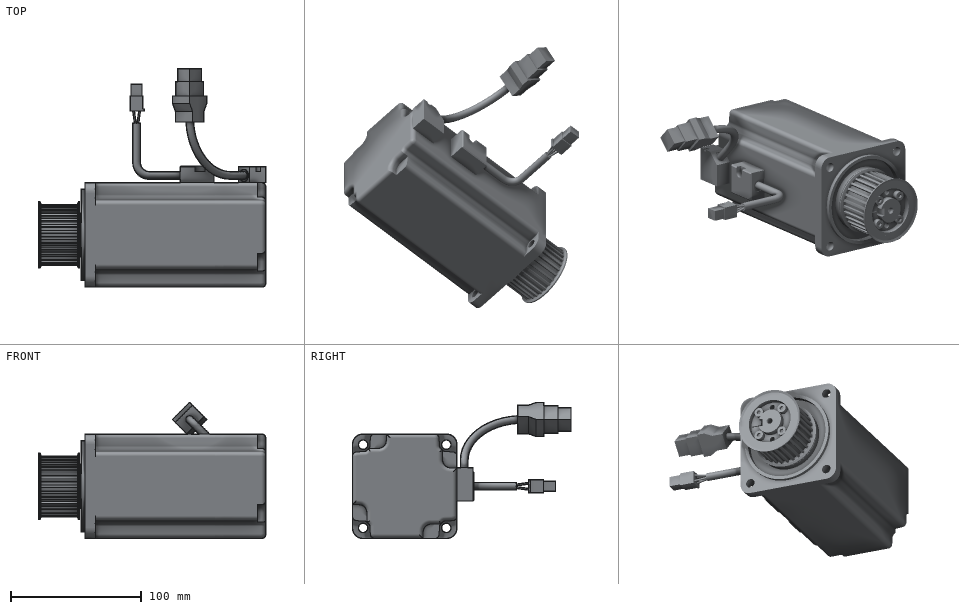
import cadquery as cq
import math


body_width = 80.0
flange_thickness = 8.0
flange_corner_radius = 8.0
bolt_circle = 90.0
bolt_hole_diameter = 7.0
pilot_diameter = 70.0
pilot_height = 3.0
pilot_recess_diameter = 65.0
pilot_recess_depth = 5.0
seal_boss_diameter = 50.0

bracket_end = 11.5
stator_end = 99.6
rear_bracket_end = 106.2
motor_end = 138.37

lobe_half_width = 26.1
lobe_root_half_width = 26.7
lobe_root_height = 29.8
lobe_edge_radius = 3.4
lobe_root_radius = 2.3
rear_edge_radius = 3.2

screw_notch_length = 6.5
screw_notch_start = 14.1
screw_notch_floor = 29.0
screw_notch_radius = 6.0

shaft_diameter = 19.0
shaft_length = 35.0
shaft_tap_diameter = 4.2
shaft_tap_depth = 12.0
shaft_tap_mouth_diameter = 5.2
key_slot_width = 6.0
key_slot_depth = 3.5
key_slot_length = 25.0

pulley_front = -34.7
pulley_rear = -4.7
tooth_count = 30
tooth_tip_diameter = 46.8
groove_depth = 1.9
groove_mouth_width = 3.2
groove_floor_width = 2.4
rim_bore_diameter = 40.0
rim_thickness = 1.0
rim_flat_diameter = 47.5
rim_diameter = 51.0
rim_flare = 0.7

bush_diameter = 34.0
bush_recess_diameter = 35.0
bush_bore = 19.2
bush_front = -30.0
bush_rear = -3.5
bush_slit_width = 0.6
clamp_screw_circle = 27.0
clamp_screw_diameter = 4.0
clamp_screw_length = 20.0
clamp_head_diameter = 7.0
clamp_head_height = 4.0
hex_socket_width = 3.0
hex_socket_depth = 2.0
jack_hole_diameter = 4.2

lead_diameter = 6.0
lead_height = 45.5
cable_recess_radius = 4.6
cable_recess_depth = 0.6
lead_entry = 2.0

power_block_start = 72.9
power_block_end = 98.8
power_block_top = 52.9
power_block_depth = 22.8
power_block_chamfer = 0.8
power_screw_x = 88.0
power_screw_diameter = 7.5
power_lead_x = 39.5
power_lead_bend = 10.0
power_sheath_end = 85.5
wire_diameter = 1.5
wire_spread_start = 1.0
wire_spread_end = 2.3
power_plug_start = 94.8
power_plug_step = 106.2
power_plug_end = 115.4
power_plug_width = 9.8
power_plug_height = 10.0
power_tip_width = 8.6
power_tip_height = 7.8
plug_lip_width = 1.1
plug_lip_length = 1.6

encoder_block_start = 117.4
encoder_block_top = 52.3
encoder_block_upper = 14.3
encoder_block_lower = -11.4
encoder_block_slope = 8.6
encoder_screw_x = 132.7
encoder_screw_diameter = 3.4
block_screw_floor = 48.6

encoder_plug_x = 80.1
encoder_plug_z = 51.1
encoder_plug_width = 18.6
encoder_plug_waist = 12.4
encoder_middle_width = 15.1
encoder_tip_width = 12.9
encoder_waist_start = 86.4
encoder_taper_start = 94.65
encoder_taper_end = 100.6
encoder_middle_start = 106.5
encoder_tip_start = 117.4
encoder_tip_end = 127.27
encoder_lead_bend = 44.3


def cylinder(diameter, start, end, y=0.0, z=0.0):
    """Cylinder along X from start to end."""
    return cq.Workplane("YZ", origin=(start, y, z)).circle(diameter / 2).extrude(end - start)


def box(x_range, y_range, z_range):
    """Axis-aligned box between pairs of limits."""
    size = [high - low for low, high in (x_range, y_range, z_range)]
    corner = [low for low, high in (x_range, y_range, z_range)]
    return cq.Workplane("XY").box(*size, centered=False).translate(tuple(corner))


def on_circle(diameter, angle):
    """Point (Y, Z) on a circle about the shaft axis."""
    radius = diameter / 2
    return radius * math.cos(math.radians(angle)), radius * math.sin(math.radians(angle))


diagonal_angles = (45, 135, 225, 315)


def lobed_prism(start, end):
    """Motor cross-section, a square with a notch along each corner, extruded along X."""
    half = body_width / 2
    side = [
        (-lobe_root_half_width, lobe_root_height),
        (-lobe_half_width, half),
        (lobe_half_width, half),
        (lobe_root_half_width, lobe_root_height),
    ]
    points = []
    for quarter in range(4):
        turn = math.radians(-90 * quarter)
        for y, z in side:
            turned_y = y * math.cos(turn) - z * math.sin(turn)
            turned_z = y * math.sin(turn) + z * math.cos(turn)
            points.append((turned_y, turned_z))
    prism = cq.Workplane("YZ", origin=(start, 0, 0)).polyline(points).close().extrude(end - start)

    def is_outer(edge):
        middle = edge.Center()
        return max(abs(middle.y), abs(middle.z)) > half - lobe_edge_radius

    lengthwise = prism.edges("|X")
    outer_edges = lengthwise.filter(is_outer)
    root_edges = lengthwise.filter(lambda edge: not is_outer(edge))
    rounded = prism.newObject(outer_edges.vals()).fillet(lobe_edge_radius)
    roots = rounded.edges("|X").filter(
        lambda edge: any(
            (edge.Center() - root.Center()).Length < lobe_root_radius / 2 for root in root_edges.vals()
        )
    )
    return roots.fillet(lobe_root_radius)


def screw_notches():
    """Pocket at the rear of each lobe that clears the cover screws."""
    half = body_width / 2
    notch = box(
        (motor_end - screw_notch_length, motor_end),
        (-half, -screw_notch_start),
        (screw_notch_floor, half),
    )
    notch = notch.edges("|X and >Y and <Z").fillet(screw_notch_radius)
    notches = notch
    for quarter in range(1, 4):
        notches = notches.union(notch.rotate((0, 0, 0), (1, 0, 0), 90 * quarter))
    return notches


def make_motor_housing():
    flange = cq.Workplane("YZ").rect(body_width, body_width).extrude(flange_thickness)
    flange = flange.edges("|X").fillet(flange_corner_radius)
    for angle in diagonal_angles:
        y, z = on_circle(bolt_circle, angle)
        flange = flange.cut(cylinder(bolt_hole_diameter, 0, flange_thickness, y, z))
    pilot = cylinder(pilot_diameter, -pilot_height, 0)
    housing = flange.union(pilot)
    recess_floor = pilot_recess_depth - pilot_height
    recess = cylinder(pilot_recess_diameter, -pilot_height, recess_floor)
    housing = housing.cut(recess.cut(cylinder(seal_boss_diameter, -pilot_height, recess_floor)))
    for start, end in (
        (flange_thickness, bracket_end),
        (bracket_end, stator_end),
        (stator_end, rear_bracket_end),
    ):
        housing = housing.union(lobed_prism(start, end), clean=False)
    cover = lobed_prism(rear_bracket_end, motor_end).cut(screw_notches())
    cover = cover.faces(">X").edges().fillet(rear_edge_radius)
    return housing.union(cover, clean=False)


def make_power_lead():
    half_depth = power_block_depth / 2
    block = box(
        (power_block_start, power_block_end),
        (body_width / 2, power_block_top),
        (-half_depth, half_depth),
    )
    block = block.edges(">Y").chamfer(power_block_chamfer)
    recess_end = power_block_start + cable_recess_depth
    recess = cylinder(2 * cable_recess_radius, power_block_start, recess_end, lead_height).union(
        box(
            (power_block_start, recess_end),
            (body_width / 2, lead_height),
            (-cable_recess_radius, cable_recess_radius),
        )
    )
    screw_radius = power_screw_diameter / 2
    screw_seat = (
        cq.Workplane("XZ", origin=(power_screw_x, power_block_top, half_depth - screw_radius))
        .circle(screw_radius)
        .extrude(power_block_top - block_screw_floor)
    )
    slot = box(
        (power_screw_x - screw_radius, power_screw_x + screw_radius),
        (block_screw_floor, power_block_top),
        (half_depth - screw_radius, half_depth),
    )
    block = block.cut(recess).cut(screw_seat).cut(slot)

    path = (
        cq.Workplane("XY")
        .moveTo(power_block_start + lead_entry, lead_height)
        .lineTo(power_lead_x + power_lead_bend, lead_height)
        .radiusArc((power_lead_x, lead_height + power_lead_bend), power_lead_bend)
        .lineTo(power_lead_x, power_sheath_end)
    )
    sheath = (
        cq.Workplane("YZ", origin=(power_block_start + lead_entry, lead_height, 0))
        .circle(lead_diameter / 2)
        .sweep(path)
    )
    lead = block.union(sheath)

    for side_x in (-1, 1):
        for side_z in (-1, 1):
            first = cq.Vector(
                power_lead_x + side_x * wire_spread_start, power_sheath_end, side_z * wire_spread_start
            )
            last = cq.Vector(
                power_lead_x + side_x * wire_spread_end, power_plug_start, side_z * wire_spread_end
            )
            run = last - first
            overlap = run.normalized() * wire_diameter
            wire = cq.Solid.makeCylinder(
                wire_diameter / 2, run.Length + 2 * overlap.Length, first - overlap, run
            )
            lead = lead.union(cq.Workplane(wire))

    def plug_part(width, height, start, end):
        return box(
            (power_lead_x - width / 2, power_lead_x + width / 2), (start, end), (-height / 2, height / 2)
        )

    lip = box(
        (power_lead_x, power_lead_x + power_plug_width / 2 + plug_lip_width),
        (power_plug_start, power_plug_start + plug_lip_length),
        (-power_plug_height / 2, power_plug_height / 2),
    )
    lead = lead.union(plug_part(power_plug_width, power_plug_height, power_plug_start, power_plug_step))
    lead = lead.union(plug_part(power_tip_width, power_tip_height, power_plug_step, power_plug_end))
    return lead.union(lip)


lead_direction = cq.Vector(-1, 0, 1).normalized()
lead_side = lead_direction.cross(cq.Vector(0, 1, 0))


def make_encoder_lead():
    foot = body_width / 2
    block = (
        cq.Workplane("XZ", origin=(0, encoder_block_top, 0))
        .polyline(
            [
                (encoder_block_start, encoder_block_lower),
                (motor_end, encoder_block_lower),
                (motor_end, encoder_block_upper),
                (encoder_block_start + encoder_block_slope, encoder_block_upper),
                (encoder_block_start, encoder_block_upper - encoder_block_slope),
            ]
        )
        .close()
        .extrude(encoder_block_top - foot)
    )

    plug_point = cq.Vector(encoder_plug_x, lead_height, encoder_plug_z)
    bend_start = plug_point - lead_direction * encoder_lead_bend
    slope_level = encoder_block_start - (encoder_block_upper - encoder_block_slope)
    exit_x = (slope_level + bend_start.x + bend_start.z) / 2
    exit_point = cq.Vector(exit_x, lead_height, exit_x - slope_level)

    lead_plane = cq.Plane(origin=exit_point.toTuple(), xDir=(0, 1, 0), normal=lead_direction.toTuple())
    recess = cq.Workplane(lead_plane).circle(cable_recess_radius).extrude(-cable_recess_depth)
    screw_seat = (
        cq.Workplane("XZ", origin=(encoder_screw_x, encoder_block_top, encoder_block_upper))
        .circle(encoder_screw_diameter / 2)
        .extrude(encoder_block_top - block_screw_floor)
    )
    block = block.cut(recess).cut(screw_seat)

    straight_start = exit_point - lead_direction * lead_entry
    path_plane = cq.Plane(
        origin=straight_start.toTuple(), xDir=lead_direction.toTuple(), normal=lead_side.toTuple()
    )
    straight = (bend_start - straight_start).Length
    path = (
        cq.Workplane(path_plane)
        .lineTo(straight, 0)
        .radiusArc((straight + encoder_lead_bend, encoder_lead_bend), -encoder_lead_bend)
    )
    section_plane = cq.Plane(
        origin=straight_start.toTuple(), xDir=(0, 1, 0), normal=lead_direction.toTuple()
    )
    sheath = cq.Workplane(section_plane).circle(lead_diameter / 2).sweep(path)

    def plug_part(width, start, end):
        plane = cq.Plane(
            origin=(encoder_plug_x, start, encoder_plug_z), xDir=lead_direction.toTuple(), normal=(0, 1, 0)
        )
        return cq.Workplane(plane).rect(width, width).extrude(end - start)

    side_plane = cq.Plane(
        origin=(encoder_plug_x, 0, encoder_plug_z), xDir=(0, 1, 0), normal=lead_side.toTuple()
    )
    plug_body = (
        cq.Workplane(side_plane)
        .polyline(
            [
                (encoder_waist_start, -encoder_plug_waist / 2),
                (encoder_taper_start, -encoder_plug_waist / 2),
                (encoder_taper_end, -encoder_plug_width / 2),
                (encoder_middle_start, -encoder_plug_width / 2),
                (encoder_middle_start, encoder_plug_width / 2),
                (encoder_taper_end, encoder_plug_width / 2),
                (encoder_taper_start, encoder_plug_waist / 2),
                (encoder_waist_start, encoder_plug_waist / 2),
            ]
        )
        .close()
        .extrude(encoder_plug_width / 2, both=True)
    )
    middle = plug_part(encoder_middle_width, encoder_middle_start, encoder_tip_start)
    tip = plug_part(encoder_tip_width, encoder_tip_start, encoder_tip_end)
    return block.union(sheath).union(plug_body).union(middle).union(tip)


def make_shaft():
    shaft = cylinder(shaft_diameter, -shaft_length, -pilot_height)
    shaft = shaft.cut(cylinder(shaft_tap_diameter, -shaft_length, -shaft_length + shaft_tap_depth))
    mouth = (shaft_tap_mouth_diameter - shaft_tap_diameter) / 2
    shaft = shaft.faces("<X").edges("%CIRCLE").edges(cq.selectors.RadiusNthSelector(0)).chamfer(mouth)
    slot_floor = shaft_diameter / 2 - key_slot_depth
    half_width = key_slot_width / 2
    round_center = -shaft_length + key_slot_length - half_width
    slot = box((-shaft_length, round_center), (slot_floor, shaft_diameter / 2), (-half_width, half_width))
    slot_end = (
        cq.Workplane("XZ", origin=(round_center, shaft_diameter / 2, 0))
        .circle(half_width)
        .extrude(key_slot_depth)
    )
    return shaft.cut(slot).cut(slot_end)


def make_pulley():
    tip_radius = tooth_tip_diameter / 2
    root_radius = tip_radius - groove_depth
    teeth_front = pulley_front + rim_thickness
    teeth_rear = pulley_rear - rim_thickness
    groove = (
        cq.Workplane("YZ", origin=(teeth_front, 0, 0))
        .polyline(
            [
                (root_radius, -groove_floor_width / 2),
                (tip_radius, -groove_mouth_width / 2),
                (tip_radius + groove_depth, -groove_mouth_width / 2),
                (tip_radius + groove_depth, groove_mouth_width / 2),
                (tip_radius, groove_mouth_width / 2),
                (root_radius, groove_floor_width / 2),
            ]
        )
        .close()
        .extrude(teeth_rear - teeth_front)
    )
    pitch_angle = 360 / tooth_count
    grooves = [
        groove.rotate((0, 0, 0), (1, 0, 0), (index + 0.5) * pitch_angle).val()
        for index in range(tooth_count)
    ]
    pulley = cylinder(tooth_tip_diameter, teeth_front, teeth_rear)
    pulley = pulley.cut(cq.Compound.makeCompound(grooves))
    pulley = pulley.union(cylinder(rim_bore_diameter, pulley_front, pulley_rear))
    pulley = pulley.cut(cylinder(bush_recess_diameter, pulley_front, bush_front))
    return pulley.cut(cylinder(bush_diameter, bush_front, pulley_rear))


def make_rim(face, outward):
    """Sheet rim whose flat ring has its outer face at X = face and whose edge flares outward."""
    bore = rim_bore_diameter / 2
    flat = rim_flat_diameter / 2
    edge = rim_diameter / 2
    inner_face = face - outward * rim_thickness
    flare = outward * rim_flare
    return (
        cq.Workplane("XY")
        .polyline(
            [
                (face, bore),
                (face, flat),
                (face + flare, edge),
                (inner_face + flare, edge),
                (inner_face, flat),
                (inner_face, bore),
            ]
        )
        .close()
        .revolve(360, (0, 0, 0), (1, 0, 0))
    )


def make_bush():
    bush = cylinder(bush_diameter, bush_front, bush_rear).cut(cylinder(bush_bore, bush_front, bush_rear))
    half_slit = bush_slit_width / 2
    bush = bush.cut(box((bush_front, bush_rear), (0, bush_diameter), (-half_slit, half_slit)))
    for angle in diagonal_angles:
        y, z = on_circle(clamp_screw_circle, angle)
        bush = bush.cut(cylinder(clamp_screw_diameter, bush_front, bush_front + clamp_screw_length, y, z))
    for angle in (90, 270):
        y, z = on_circle(clamp_screw_circle, angle)
        bush = bush.cut(cylinder(jack_hole_diameter, bush_front, bush_rear, y, z))
    return bush


def make_clamp_screw(angle):
    y, z = on_circle(clamp_screw_circle, angle)
    head_top = bush_front - clamp_head_height
    screw = cylinder(clamp_head_diameter, head_top, bush_front, y, z)
    screw = screw.union(cylinder(clamp_screw_diameter, bush_front, bush_front + clamp_screw_length, y, z))
    socket = (
        cq.Workplane("YZ", origin=(head_top, y, z))
        .polygon(6, hex_socket_width / math.cos(math.radians(30)))
        .extrude(hex_socket_depth)
    )
    return screw.cut(socket)


motor = make_motor_housing()
motor = motor.union(make_power_lead(), clean=False).union(make_encoder_lead(), clean=False)
shaft = make_shaft()
pulley = make_pulley()
rims = [make_rim(pulley_front, -1), make_rim(pulley_rear, 1)]
bush = make_bush()
clamp_screws = [make_clamp_screw(angle) for angle in diagonal_angles]

result = cq.Compound.makeCompound(
    [
        motor.val(),
        shaft.val(),
        pulley.val(),
        *[rim.val() for rim in rims],
        bush.val(),
        *[screw.val() for screw in clamp_screws],
    ]
)